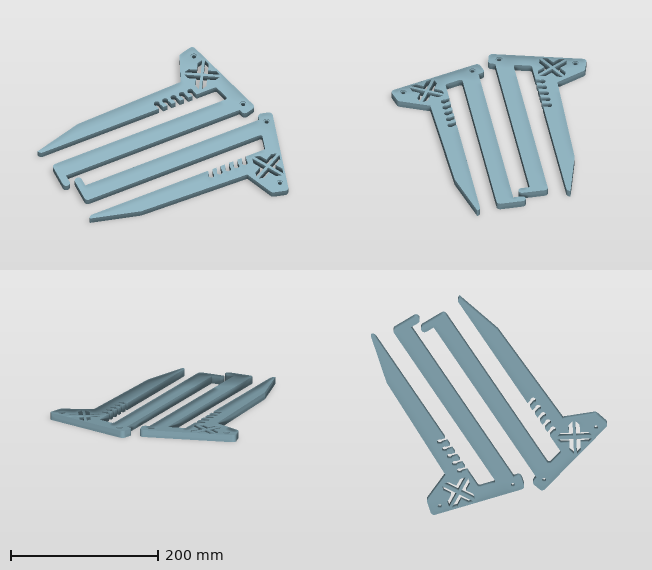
import cadquery as cq
import math

THICKNESS = 10.0
HEAD_LENGTH = 133.0
HEAD_HEIGHT = 20.0
HEAD_ROUND = 5.0

LEAN = math.radians(15)
LEAN_RUN = math.tan(LEAN)

LEG_START = 103.8
LEG_WIDTH = 24.0
LEG_LENGTH = 284.5
HOOK_LENGTH = 40.2
HOOK_WIDTH = 10.0
LEG_ROUND = 4.8
GAP_ROUND = 3.0

BLADE_START = 47.8
BLADE_END = 78.5
BLADE_TAPER_RUN = math.tan(math.radians(13.2))
BLADE_DEPTH = 274.7
TIP_ROUND = 5.5
SHOULDER_DEPTH = 23.3
SHOULDER_SLOPE = math.tan(math.radians(38))

NOTCH_COUNT = 5
NOTCH_FIRST_DEPTH = 51.0
NOTCH_PITCH = 12.0
NOTCH_INSET = 9.0
NOTCH_MOUTH = 6.0
NOTCH_BULB_DIAMETER = 8.0

SCREW_INSET = 14.5
SCREW_DEPTH = 10.0
SCREW_DIAMETER = 5.5
COUNTERBORE_DIAMETER = 9.0
COUNTERBORE_DEPTH = 1.0

CROSS_CENTER = (45.0, -21.2)
CROSS_SIZE = 37.2
CROSS_ARM_WIDTH = 15.0
CROSS_WEB_WIDTH = 4.0

MIRRORED_TURN = -30
MIRRORED_CORNER = (269.2, -54.8)


def leaning_point(start, depth):
    """Point at a depth on an edge that leaves the top line at start."""
    return (start - depth * LEAN_RUN, -depth)


def leg_point(across, along):
    """Point on the leg, measured from its upper-left corner square to and along its edges."""
    return (
        LEG_START + across * math.cos(LEAN) - along * math.sin(LEAN),
        -across * math.sin(LEAN) - along * math.cos(LEAN),
    )


def round_corners(body, corners, radius):
    """Round the upright edges that stand on the given corner points."""
    for x, y in corners:
        nearest = cq.selectors.NearestToPointSelector((x, y, THICKNESS / 2))
        body = body.edges("|Z").edges(nearest).fillet(radius)
    return body


def plate_blank():
    head_left = (0, 0)
    head_right = (HEAD_LENGTH, 0)
    head_right_low = (HEAD_LENGTH, -HEAD_HEIGHT)
    leg_end = LEG_START + LEG_WIDTH / math.cos(LEAN)
    leg_root = leaning_point(leg_end, HEAD_HEIGHT)

    hook_inner = leg_point(LEG_WIDTH, LEG_LENGTH - HOOK_WIDTH)
    hook_top = leg_point(HOOK_LENGTH, LEG_LENGTH - HOOK_WIDTH)
    hook_bottom = leg_point(HOOK_LENGTH, LEG_LENGTH)
    leg_heel = leg_point(0, LEG_LENGTH)

    gap_right = leaning_point(LEG_START, HEAD_HEIGHT)
    gap_left = leaning_point(BLADE_END, HEAD_HEIGHT)

    tip_right = leaning_point(BLADE_END, BLADE_DEPTH)
    tip_left = (0, -BLADE_DEPTH)
    blade_knee = (0, -BLADE_START / BLADE_TAPER_RUN)
    shoulder_x = (BLADE_START - SHOULDER_DEPTH * BLADE_TAPER_RUN) / (1 + SHOULDER_SLOPE * BLADE_TAPER_RUN)
    shoulder_inner = (shoulder_x, -SHOULDER_DEPTH - shoulder_x * SHOULDER_SLOPE)
    shoulder_outer = (0, -SHOULDER_DEPTH)

    outline = [
        head_left, head_right, head_right_low, leg_root,
        hook_inner, hook_top, hook_bottom, leg_heel,
        gap_right, gap_left,
        tip_right, tip_left, blade_knee, shoulder_inner, shoulder_outer,
    ]
    blank = cq.Workplane("XY").polyline(outline).close().extrude(THICKNESS)
    blank = round_corners(blank, [head_left, head_right, head_right_low, shoulder_outer], HEAD_ROUND)
    blank = round_corners(blank, [hook_top, hook_bottom, leg_heel], LEG_ROUND)
    blank = round_corners(blank, [gap_right, gap_left], GAP_ROUND)
    return round_corners(blank, [tip_right], TIP_ROUND)


def notch_cutters():
    cutters = cq.Workplane("XY")
    for index in range(NOTCH_COUNT):
        edge_x, y = leaning_point(BLADE_END, NOTCH_FIRST_DEPTH + index * NOTCH_PITCH)
        bulb_x = edge_x - NOTCH_INSET
        bulb = cq.Workplane("XY").center(bulb_x, y).circle(NOTCH_BULB_DIAMETER / 2).extrude(THICKNESS)
        mouth_length = NOTCH_INSET + NOTCH_MOUTH
        mouth = (
            cq.Workplane("XY")
            .center(bulb_x + mouth_length / 2, y)
            .rect(mouth_length, NOTCH_MOUTH)
            .extrude(THICKNESS)
        )
        cutters = cutters.add(bulb.union(mouth))
    return cutters.combine()


def diagonal_cross(width):
    """Two long bars of the given width that cross at right angles on the diagonals."""
    bar = cq.Workplane("XY").rect(2 * CROSS_SIZE, width).extrude(THICKNESS)
    rising = bar.rotate((0, 0, 0), (0, 0, 1), 45)
    falling = bar.rotate((0, 0, 0), (0, 0, 1), -45)
    return rising.union(falling)


def cross_window():
    square = cq.Workplane("XY").rect(CROSS_SIZE, CROSS_SIZE).extrude(THICKNESS)
    window = square.intersect(diagonal_cross(CROSS_ARM_WIDTH)).cut(diagonal_cross(CROSS_WEB_WIDTH))
    return window.translate((*CROSS_CENTER, 0))


def make_plate():
    plate = plate_blank().cut(notch_cutters()).cut(cross_window())
    screw_points = [(SCREW_INSET, -SCREW_DEPTH), (HEAD_LENGTH - SCREW_INSET, -SCREW_DEPTH)]
    return (
        plate.faces(">Z")
        .workplane(origin=(0, 0, THICKNESS))
        .pushPoints(screw_points)
        .cboreHole(SCREW_DIAMETER, COUNTERBORE_DIAMETER, COUNTERBORE_DEPTH)
    )


left_plate = make_plate()
right_plate = (
    make_plate()
    .mirror("YZ")
    .rotate((0, 0, 0), (0, 0, 1), MIRRORED_TURN)
    .translate((*MIRRORED_CORNER, 0))
)

result = cq.Compound.makeCompound([left_plate.val(), right_plate.val()])